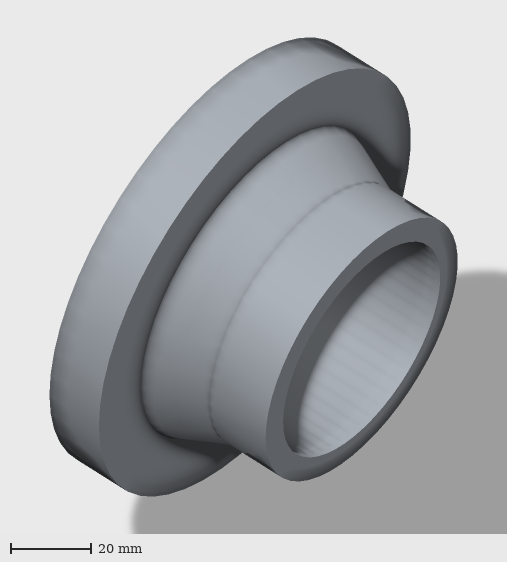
import cadquery as cq

flange_radius = 61.0
flange_thickness = 16.0
hub_base_radius = 44.5
neck_radius = 37.6
neck_start = 32.3
total_length = 50.5
bore_radius = 30.7

half_section = (
    cq.Workplane("XY")
    .moveTo(0, -bore_radius)
    .lineTo(0, -flange_radius)
    .lineTo(flange_thickness, -flange_radius)
    .lineTo(flange_thickness, -hub_base_radius)
    .lineTo(neck_start, -neck_radius)
    .lineTo(total_length, -neck_radius)
    .lineTo(total_length, -bore_radius)
    .close()
)

result = half_section.revolve(360, (0, 0, 0), (1, 0, 0))